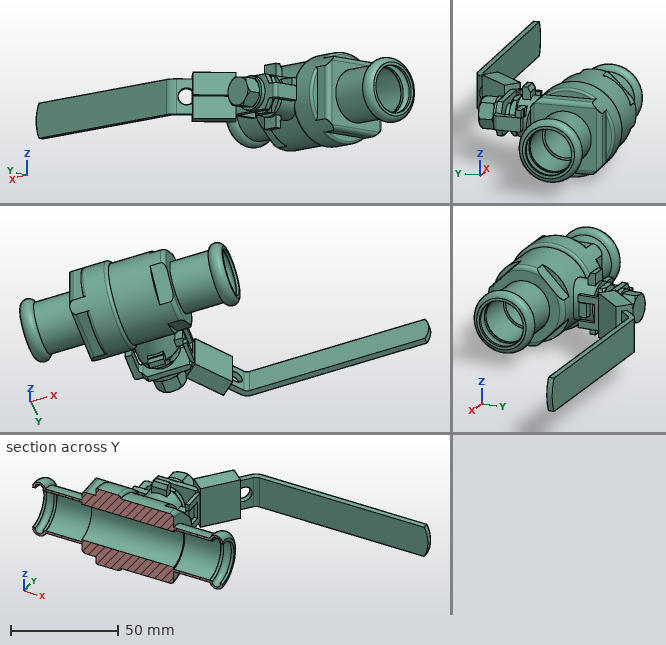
import cadquery as cq
import math


pipe_length = 100.0
pipe_dia = 25.5
bead_dia = 30.5
bead_length = 6.9
bead_wall = 1.5
socket_dia = 22.3
mouth_dia = 22.6
mouth_depth = bead_length
bore_dia = 20.0

square_start = 25.8
square_size = 35.2
square_edge_round = 2.3
collar_start = 33.0
collar_end = 46.5
collar_dia = 43.3
collar_front_round = 1.2
collar_back_round = 1.6
square_end = collar_start + collar_front_round
body_end = 74.2
body_dia = 40.0
body_edge_round = 2.1
flats_start = 66.8
flats_across = 35.0

stem_x = 53.7
neck_dia = bore_dia
neck_top = 29.9
spacer_dia = 14.3
lock_nut_bottom = 30.7
lock_nut_top = 33.5
lock_nut_corners = neck_dia
stem_dia = 10.5
washer_dia = 16.3
washer_thickness = 2.1
top_nut_corners = 15.4
top_nut_height = 7.6
top_nut_turn = 8
top_nut_chamfer = 0.9
lock_nut_chamfer = 1.2

lug_top = 28.5
lug_bottom = 25.1
lug_tip_bottom = 25.6
lug_tip_start = 11.7
front_lug_bottom = 24.5
cross_lug_width = 7.8
cross_lug_reach = 15.2
lug_chamfer_height = 1.5
lug_chamfer_depth = 2.3
left_lug_start = 38.7
right_lug_end = 67.3
left_lug_z = (3.0, 7)
right_lug_z = (-3.5, 3.5)

overall_length = 176.7
overall_height = 84.1
lever_top = overall_height - collar_dia / 2
lever_width = 16.6
sheet = 2.8
plate_top = 39.4
lever_angle = 49
lower_bend_x = 65.9
bend_outer_radius = 6.0
tongue_start = 38.5
tongue_bottom = 25.8
tongue_width = 6.9
tongue_sheet = 3.4
tongue_outer_round = 1.6
tongue_inner_round = 1.6
taper_start = 42.8
taper_end = 45.5
tip_bulge = 2.0
lever_hole_dia = 8.0
lever_hole_past_sleeve = 2.8

sleeve_length = 20.1
sleeve_height = 8.7
sleeve_width = 21.9
sleeve_offset = 0.7
seam_width = 0.5
seam_depth = 0.5
latch_start = 67.3
latch_end = 69.3
latch_bottom = 25.1
latch_shoulder = 35.2
latch_width = 16.3
latch_slot_width = 9.2
latch_slot_top = 33.4


def along_x(x_start, x_end, dia):
    """Cylinder on the pipe axis."""
    return cq.Workplane("YZ", origin=(x_start, 0, 0)).circle(dia / 2).extrude(x_end - x_start)


def along_stem(bottom, top, dia):
    """Cylinder on the stem axis."""
    return cq.Workplane("XZ", origin=(stem_x, bottom, 0)).circle(dia / 2).extrude(bottom - top)


def block(x_range, y_range, z_range):
    """Box given by its limits along X, Y and Z."""
    spans = [limits[1] - limits[0] for limits in (x_range, y_range, z_range)]
    corner = (x_range[0], y_range[0], z_range[0])
    return cq.Workplane("XY").box(*spans, centered=False).translate(corner)


def bulged_ring(x_start, x_end, edge_dia, crown_dia):
    """Solid disc on the pipe axis whose rim bulges as one arc from edge to crown diameter."""
    return (
        cq.Workplane("XY")
        .moveTo(x_start, 0)
        .lineTo(x_start, edge_dia / 2)
        .threePointArc(((x_start + x_end) / 2, crown_dia / 2), (x_end, edge_dia / 2))
        .lineTo(x_end, 0)
        .close()
        .revolve(360, (0, 0), (1, 0))
    )


def both_ends(shape):
    """Shape of the left pipe end together with its mirror image at the right end."""
    opposite = shape.mirror("YZ").translate((pipe_length, 0, 0))
    return shape.union(opposite)


def make_body():
    square = cq.Workplane("YZ", origin=(square_start, 0, 0)).rect(square_size, square_size)
    square = square.extrude(square_end - square_start).faces("<X").edges().fillet(square_edge_round)
    square = square.intersect(along_x(square_start, square_end, collar_dia))

    collar = along_x(collar_start, collar_end, collar_dia)
    collar = collar.faces("<X").edges().fillet(collar_front_round)
    collar = collar.faces(">X").edges().fillet(collar_back_round)

    barrel = along_x(collar_start, body_end, body_dia).faces(">X").edges().fillet(body_edge_round)
    flats = cq.Workplane("YZ", origin=(flats_start, 0, 0)).rect(flats_across, flats_across)
    flats = flats.extrude(body_end - flats_start).rotate((0, 0, 0), (1, 0, 0), 45)
    barrel_end = along_x(flats_start, body_end, collar_dia)
    barrel = barrel.cut(barrel_end.cut(flats))

    return square.union(collar).union(barrel)


def make_pipes():
    tube = along_x(bead_length / 2, pipe_length - bead_length / 2, pipe_dia)
    bead = bulged_ring(0, bead_length, pipe_dia, bead_dia)
    return tube.union(both_ends(bead))


def make_passage():
    socket = along_x(0, square_start, socket_dia)
    mouth = along_x(0, mouth_depth, mouth_dia)
    groove_dia = bead_dia - 2 * bead_wall
    groove = bulged_ring(bead_wall, bead_length - bead_wall, mouth_dia, groove_dia)
    ends = both_ends(socket.union(mouth).union(groove))
    return ends.union(along_x(0, pipe_length, bore_dia))


def make_nut(bottom, top, corners, turn, chamfered_faces, chamfer):
    prism = cq.Workplane("XZ", origin=(stem_x, bottom, 0)).polygon(6, corners).extrude(bottom - top)
    prism = prism.rotate((stem_x, 0, 0), (stem_x, 1, 0), -turn)
    envelope = along_stem(bottom, top, corners).faces(chamfered_faces).edges().chamfer(chamfer)
    return prism.intersect(envelope)


def make_stem():
    washer_top = plate_top + washer_thickness
    nut_top = washer_top + top_nut_height
    stem = along_stem(pipe_dia / 2, neck_top, neck_dia)
    stem = stem.union(along_stem(neck_top, lock_nut_bottom, spacer_dia))
    stem = stem.union(make_nut(lock_nut_bottom, lock_nut_top, lock_nut_corners, 0, ">Y", lock_nut_chamfer))
    stem = stem.union(along_stem(lock_nut_top, plate_top, stem_dia))
    stem = stem.union(along_stem(plate_top, washer_top, washer_dia))
    return stem.union(make_nut(washer_top, nut_top, top_nut_corners, top_nut_turn, "|Y", top_nut_chamfer))


def make_lugs():
    cross_x = (stem_x - cross_lug_width / 2, stem_x + cross_lug_width / 2)
    front = (
        cq.Workplane("YZ", origin=(cross_x[0], 0, 0))
        .moveTo(lug_top, 0)
        .lineTo(lug_top, cross_lug_reach)
        .lineTo(front_lug_bottom + lug_chamfer_height, cross_lug_reach)
        .lineTo(front_lug_bottom, cross_lug_reach - lug_chamfer_depth)
        .lineTo(front_lug_bottom, 0)
        .close()
        .extrude(cross_lug_width)
    )
    back = block(cross_x, (lug_tip_bottom, lug_top), (-cross_lug_reach, 0))
    back = back.union(block(cross_x, (lug_bottom, lug_top), (-lug_tip_start, 0)))
    left = block((left_lug_start, stem_x), (lug_tip_bottom, lug_top), left_lug_z)
    left = left.union(block((stem_x - lug_tip_start, stem_x), (lug_bottom, lug_top), left_lug_z))
    right = block((stem_x, right_lug_end), (front_lug_bottom, lug_top), right_lug_z)
    return front.union(back).union(left).union(right)


slope = math.radians(lever_angle)
plate_mid = plate_top - sheet / 2
lever_mid = lever_top - sheet / 2
upper_bend_x = lower_bend_x + (lever_mid - plate_mid) / math.tan(slope)
miter = sheet / 2 * math.tan(slope / 2)


def on_slope(distance):
    """Point on the middle of the sloping sheet, at a distance from the lower bend."""
    return (lower_bend_x + distance * math.cos(slope), plate_mid + distance * math.sin(slope))


def make_lever():
    plate_bottom = plate_top - sheet
    tongue_end = tongue_start + tongue_sheet
    half_width = lever_width / 2
    half_tongue = tongue_width / 2

    side = (
        cq.Workplane("XY", origin=(0, 0, -half_width))
        .polyline([
            (tongue_start, tongue_bottom),
            (tongue_start, plate_top),
            (lower_bend_x - miter, plate_top),
            (upper_bend_x - miter, lever_top),
            (overall_length, lever_top),
            (overall_length, lever_top - sheet),
            (upper_bend_x + miter, lever_top - sheet),
            (lower_bend_x + miter, plate_bottom),
            (tongue_end, plate_bottom),
            (tongue_end, tongue_bottom),
        ])
        .close()
        .extrude(lever_width)
    )

    def round_corner(solid, x, y, radius):
        corner = cq.selectors.NearestToPointSelector((x, y, 0))
        return solid.edges("|Z").edges(corner).fillet(radius)

    side = round_corner(side, upper_bend_x - miter, lever_top, bend_outer_radius)
    side = round_corner(side, upper_bend_x + miter, lever_top - sheet, bend_outer_radius - sheet)
    side = round_corner(side, tongue_start, plate_top, tongue_outer_round)
    side = round_corner(side, tongue_end, plate_bottom, tongue_inner_round)

    plan = (
        cq.Workplane("XZ", origin=(0, tongue_bottom, 0))
        .moveTo(tongue_start, -half_tongue)
        .lineTo(taper_start, -half_tongue)
        .lineTo(taper_end, -half_width)
        .lineTo(overall_length - tip_bulge, -half_width)
        .threePointArc((overall_length, 0), (overall_length - tip_bulge, half_width))
        .lineTo(taper_end, half_width)
        .lineTo(taper_start, half_tongue)
        .lineTo(tongue_start, half_tongue)
        .close()
        .extrude(tongue_bottom - lever_top)
    )

    hole_x, hole_y = on_slope(sleeve_offset + sleeve_length + lever_hole_past_sleeve)
    hole = cq.Workplane("XZ").circle(lever_hole_dia / 2).extrude(sheet, both=True)
    hole = hole.rotate((0, 0, 0), (0, 0, 1), lever_angle).translate((hole_x, hole_y, 0))
    return side.intersect(plan).cut(hole)


def make_sleeve():
    sleeve = cq.Workplane("XY").box(sleeve_length, sleeve_height, sleeve_width)
    seam = cq.Workplane("XY").box(sleeve_length, 2 * seam_depth, seam_width)
    sleeve = sleeve.cut(seam.translate((0, sleeve_height / 2, 0)))
    middle_x, middle_y = on_slope(sleeve_offset + sleeve_length / 2)
    return sleeve.rotate((0, 0, 0), (0, 0, 1), lever_angle).translate((middle_x, middle_y, 0))


def make_latch():
    """Forked strip hanging from the sleeve; its slanted top runs inside the sleeve."""
    lean = math.tan(slope)
    width = latch_end - latch_start
    strip = (
        cq.Workplane("XY", origin=(0, 0, -latch_width / 2))
        .moveTo(latch_start, latch_bottom)
        .lineTo(latch_end, latch_bottom)
        .lineTo(latch_end, latch_shoulder + 2 * width * lean)
        .lineTo(latch_start + width, latch_shoulder + width * lean)
        .lineTo(latch_start, latch_shoulder)
        .close()
        .extrude(latch_width)
    )
    slot_z = (-latch_slot_width / 2, latch_slot_width / 2)
    return strip.cut(block((latch_start, latch_end), (latch_bottom, latch_slot_top), slot_z))


valve = make_body().union(make_pipes()).union(make_stem()).union(make_lugs()).cut(make_passage())
result = valve.union(make_lever()).union(make_sleeve()).union(make_latch())